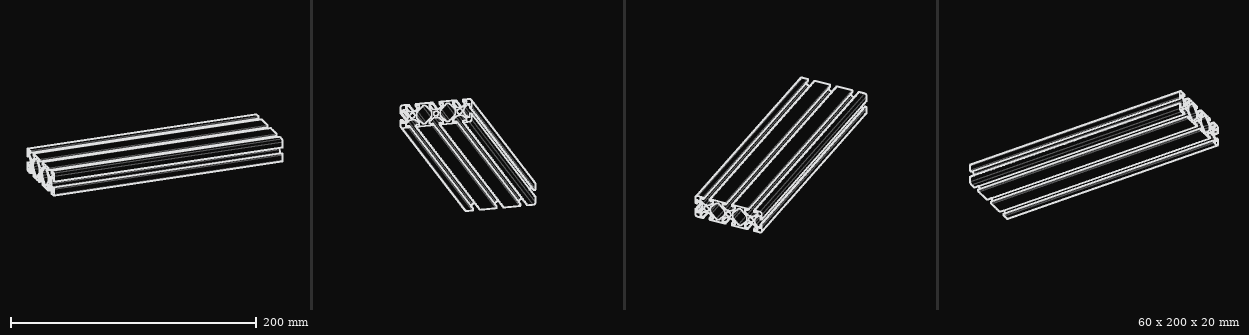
import cadquery as cq
import math

length = 200.0
module = 20.0
module_count = 3
width = module * module_count
half_height = module / 2
corner_radius = 2.0

slot_opening = 5.2
slot_inner_width = 11.5
lip_thickness = 1.5
lip_edge_radius = 0.8
slot_depth = 6.5
slot_floor_flat = 2.2
slot_diagonal_reach = 8.8

chamber_half_width = 6.5
chamber_half_height = 8.0
chamber_side_flat = 2.5
chamber_diagonal_reach = 8.8

core_hole_diameter = 4.2

SIN_45 = math.sin(math.pi / 4)
SIN_22_5 = math.sin(math.pi / 8)
COS_22_5 = math.cos(math.pi / 8)
TAN_22_5 = math.tan(math.pi / 8)


def prism(outline):
    """Extrude an outline on the XZ plane over the full length, centred on Y."""
    return outline.extrude(length / 2, both=True)


def profile_plane():
    return cq.Workplane("XZ")


def slot_cutter():
    """T-slot opening upwards, with the outer face of the bar at height zero."""
    half_opening = slot_opening / 2
    half_inner = slot_inner_width / 2
    half_flat = slot_floor_flat / 2
    rounded_half = half_opening + lip_edge_radius

    edge_middle = lip_edge_radius * (1 - SIN_45)

    floor_radius = (slot_diagonal_reach - slot_depth - half_flat) / TAN_22_5
    arc_centre_depth = slot_depth - floor_radius
    arc_end = (half_flat + floor_radius * SIN_45, -arc_centre_depth - floor_radius * SIN_45)
    arc_middle = (
        half_flat + floor_radius * SIN_22_5,
        -arc_centre_depth - floor_radius * COS_22_5,
    )

    half_slot = prism(
        profile_plane()
        .moveTo(0, 0)
        .lineTo(rounded_half, 0)
        .threePointArc((half_opening + edge_middle, -edge_middle), (half_opening, -lip_edge_radius))
        .lineTo(half_opening, -lip_thickness)
        .lineTo(half_inner, -lip_thickness)
        .lineTo(half_inner, half_inner - slot_diagonal_reach)
        .lineTo(*arc_end)
        .threePointArc(arc_middle, (half_flat, -slot_depth))
        .lineTo(0, -slot_depth)
        .close()
    )
    return half_slot.union(half_slot.mirror("YZ"))


def chamber_cutter():
    """Hollow chamber: upright sides, 45 degree walls and rounded top and bottom."""
    side_corner = chamber_diagonal_reach - chamber_half_width

    side_radius = (side_corner - chamber_side_flat / 2) / TAN_22_5
    crown_radius = (chamber_diagonal_reach - chamber_half_height) / (math.sqrt(2) - 1)

    hexagon = profile_plane().polyline(
        [
            (chamber_half_width, -side_corner),
            (chamber_half_width, side_corner),
            (0, chamber_diagonal_reach),
            (-chamber_half_width, side_corner),
            (-chamber_half_width, -side_corner),
            (0, -chamber_diagonal_reach),
        ]
    ).close()
    chamber = prism(hexagon)
    chamber = chamber.faces(">X or <X").edges("|Y").fillet(side_radius)
    return chamber.edges(">Z or <Z").fillet(crown_radius)


core_positions = [(i - (module_count - 1) / 2) * module for i in range(module_count)]

result = prism(profile_plane().rect(width, module)).edges("|Y").fillet(corner_radius)

top_slot = slot_cutter().translate((0, 0, half_height))
bottom_slot = top_slot.mirror("XY")
for x in core_positions:
    result = result.cut(top_slot.translate((x, 0, 0)))
    result = result.cut(bottom_slot.translate((x, 0, 0)))

for side in (-1, 1):
    side_slot = slot_cutter().rotate((0, 0, 0), (0, 1, 0), side * 90)
    result = result.cut(side_slot.translate((side * width / 2, 0, 0)))

chamber = chamber_cutter()
for x in core_positions[:-1]:
    result = result.cut(chamber.translate((x + module / 2, 0, 0)))

core_hole = prism(profile_plane().circle(core_hole_diameter / 2))
for x in core_positions:
    result = result.cut(core_hole.translate((x, 0, 0)))